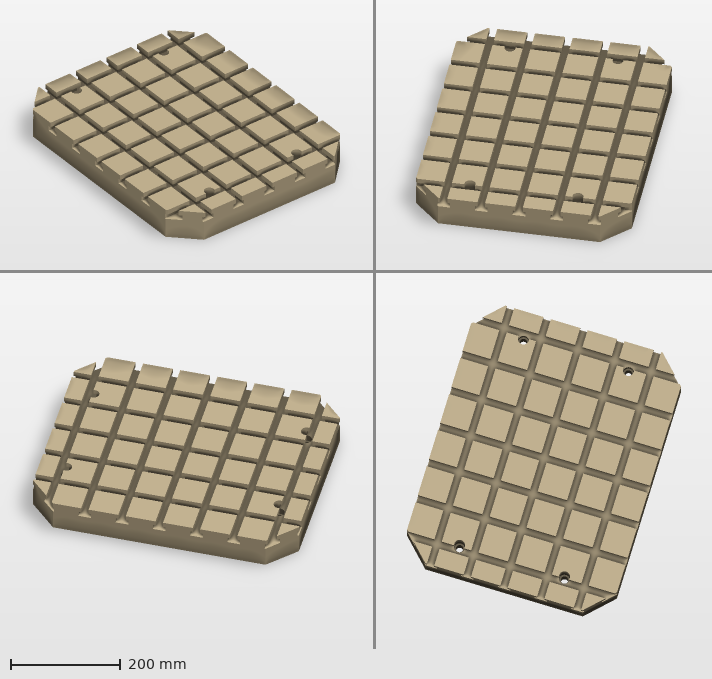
import cadquery as cq

length = 500.0
width = 400.0
height = 60.0
corner_chamfer = 50.0

slot_pitch = 70.0
crosswise_slot_count = 7
lengthwise_slot_count = 5
neck_width = 14.0
neck_depth = 10.0
head_width = 24.0
head_height = 10.0
slot_depth = neck_depth + head_height

hole_spacing_x = 400.0
hole_spacing_y = 200.0
hole_diameter = 13.5
counterbore_diameter = 20.0
counterbore_depth_below_slots = 13.0
counterbore_depth = slot_depth + counterbore_depth_below_slots


def make_plate():
    """Rectangular plate with its four vertical corners cut off, resting on Z = 0."""
    plate = cq.Workplane("XY").box(length, width, height, centered=(True, True, False))
    return plate.edges("|Z").chamfer(corner_chamfer)


def make_t_slots(count, run):
    """Row of T-slot cutters running along Y for the given length, spaced along X."""
    slot_floor = cq.Workplane("XY").workplane(offset=height - slot_depth)
    centres = slot_floor.rarray(slot_pitch, 5, count, 1)
    necks = centres.rect(neck_width, run).extrude(slot_depth)
    heads = centres.rect(head_width, run).extrude(head_height)
    return necks.union(heads)


def make_mounting_holes():
    """Cutters for four counterbored through holes, symmetric about the plate centre."""
    top_face = cq.Workplane("XY").workplane(offset=height)
    centres = top_face.rarray(hole_spacing_x, hole_spacing_y, 2, 2)
    through_holes = centres.circle(hole_diameter / 2).extrude(-height)
    counterbores = centres.circle(counterbore_diameter / 2).extrude(-counterbore_depth)
    return through_holes.union(counterbores)


crosswise_slots = make_t_slots(crosswise_slot_count, width)
lengthwise_slots = make_t_slots(lengthwise_slot_count, length).rotate((0, 0, 0), (0, 0, 1), 90)

result = make_plate().cut(crosswise_slots).cut(lengthwise_slots).cut(make_mounting_holes())